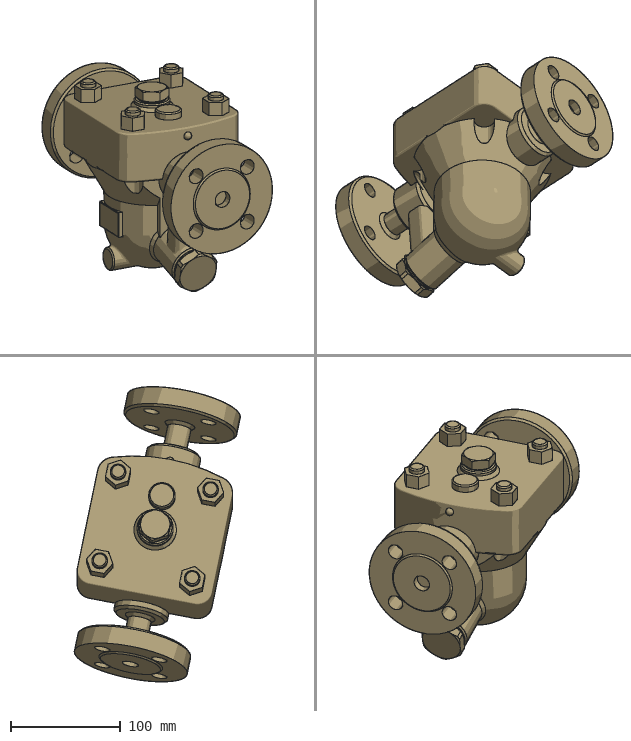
import cadquery as cq
import math


overall_length = 251.0
inlet_face_x = -115.5
outlet_face_x = inlet_face_x + overall_length
flange_diameter = 105.0
flange_thickness = 18.3
flange_chamfer = 2.0
raised_face_diameter = 59.0
raised_face_height = 1.5
raised_face_chamfer = 1.5
flange_hole_diameter = 14.0
flange_hole_count = 4
flange_bolt_circle = 74.8
bore_diameter = 15.0
bore_depth = 7.5
pipe_diameter = 21.5
pipe_flare = 3.0

hub_diameter = 50.0
hub_chamfer = 2.5
inlet_hub_x = -70.0
outlet_hub_x = 89.9

body_width_y = 125.0
body_left_x = -62.5
bulge_x = 68.5
bulge_radius = 168.2
left_corner_radius = 13.5
right_corner_radius = 15.5
body_bottom_z = 1.3
cover_joint_z = 29.4
cover_top_z = 48.2
body_edge_fillet = 2.0
cover_edge_fillet = 1.5

stud_spacing = 85.8
stud_diameter = 14.0
stud_chamfer = 1.3
stud_top_z = 65.5
nut_across_flats = 21.0
nut_top_z = 61.0
stud_clearance_diameter = 18.5
clearance_bottom_z = -19.0

plug_across_flats = 26.9
plug_top_z = 66.0
plug_bottom_z = 56.0
plug_collar_diameter = 33.0
plug_collar_top_z = 55.0
plug_collar_bottom_z = 51.5
plug_base_diameter = 38.7
plug_neck_diameter = 25.0
cover_boss_x = 31.6
cover_boss_diameter = 24.0
cover_boss_top_z = 55.0
boss_chamfer = 1.3

pin_diameter = 7.5
pin_tip_x = 72.3
pin_z = 40.5

bowl_radius = 44.0
bowl_shoulder_z = -33.0
bowl_center_z = -62.5
neck_seam_radius = 51.7
neck_seam_z = -19.0
neck_top_radius = 63.3

plate_width = 36.1
plate_top_z = -42.7
plate_bottom_z = -66.5
plate_face_y = -44.7
plate_back_y = -35.1
plate_chamfer = 0.63

drain_diameter = 21.5
drain_root_fillet = 3.0
drain_z = -92.9
drain_end_y = -45.7
drain_chamfer = 1.3

strainer_tilt = 15.0
strainer_diameter = 40.0
strainer_length = 80.0
strainer_chamfer = 1.5
strainer_flare = 3.3
strainer_flare_start = 36.0
strainer_flare_end = 42.0
cap_neck_diameter = 33.0
cap_across_flats = 37.1
cap_corner_chamfer = 2.0
cap_start = 82.0
cap_end = 91.9

leg_width = 23.3
leg_depth = 32.5
leg_corner_radius = 6.8
leg_root_fillet = 2.0
leg_tilt = 4.0
leg_top_x = 70.8
leg_length = 77.8
rib_depth = leg_depth
gap_left_x = 46.0
gap_right_x = 57.0
gap_top_z = 0.8


def hexagon_corner_radius(across_flats):
    return across_flats / 2 / math.cos(math.pi / 6)


def hexagonal_prism(across_flats, height, rotation=0.0):
    """A prism with two corners on the X axis before it is rotated about Z."""
    prism = cq.Workplane("XY").polygon(6, 2 * hexagon_corner_radius(across_flats)).extrude(height)
    return prism.rotate((0, 0, 0), (0, 0, 1), rotation)


def rod_z(diameter, bottom_z, top_z, x=0.0, y=0.0):
    return cq.Workplane("XY", origin=(x, y, bottom_z)).circle(diameter / 2).extrude(top_z - bottom_z)


def hex_head(across_flats, height):
    """A hexagonal head whose corners are rounded off by a cone at both ends."""
    corner_radius = hexagon_corner_radius(across_flats)
    drop = corner_radius - across_flats / 2
    envelope = cq.Workplane("XY").circle(corner_radius).extrude(height).edges().chamfer(drop / 2, drop)
    return hexagonal_prism(across_flats, height).intersect(envelope)


def pipe_branch(face_x, hub_x, root_x, direction):
    """Flange, pipe and hub as one turned piece, from the flange face to the hub root.

    The direction is the sign of X from the body towards the flange.
    """

    def turned_point(distance_from_face, radius):
        return (face_x - direction * distance_from_face, radius)

    flange_back = raised_face_height + flange_thickness
    hub_face = abs(face_x - hub_x)
    branch_end = abs(face_x - root_x)
    pipe_radius = pipe_diameter / 2
    face_radius = raised_face_diameter / 2
    flange_radius = flange_diameter / 2
    hub_radius = hub_diameter / 2
    profile = [
        (0, 0),
        (0, face_radius - raised_face_chamfer),
        (raised_face_height, face_radius),
        (raised_face_height, flange_radius),
        (flange_back - flange_chamfer, flange_radius),
        (flange_back, flange_radius - flange_chamfer),
        (flange_back, pipe_radius + pipe_flare),
        (flange_back + pipe_flare, pipe_radius),
        (hub_face - pipe_flare, pipe_radius),
        (hub_face, pipe_radius + pipe_flare),
        (hub_face, hub_radius - hub_chamfer),
        (hub_face + hub_chamfer, hub_radius),
        (branch_end - hub_chamfer, hub_radius),
        (branch_end, hub_radius - hub_chamfer),
        (branch_end, 0),
    ]
    points = [turned_point(distance, radius) for distance, radius in profile]
    branch = cq.Workplane("XY").polyline(points).close().revolve(360, (0, 0, 0), (1, 0, 0))
    face_plane = cq.Plane(origin=(face_x, 0, 0), xDir=(0, 1, 0), normal=(-direction, 0, 0))
    bolt_holes = (
        cq.Workplane(face_plane)
        .polarArray(flange_bolt_circle / 2, 45, 360, flange_hole_count)
        .circle(flange_hole_diameter / 2)
        .extrude(flange_back)
    )
    bore = cq.Workplane(face_plane).circle(bore_diameter / 2).extrude(bore_depth)
    return branch.cut(bolt_holes).cut(bore)


def square_block(bottom_z, top_z):
    """A slab with the plan outline shared by body and cover."""
    half_width = body_width_y / 2
    sagitta = bulge_radius - math.sqrt(bulge_radius**2 - half_width**2)
    corner_x = bulge_x - sagitta
    block = (
        cq.Workplane("XY", origin=(0, 0, bottom_z))
        .moveTo(body_left_x, -half_width)
        .lineTo(corner_x, -half_width)
        .threePointArc((bulge_x, 0), (corner_x, half_width))
        .lineTo(body_left_x, half_width)
        .close()
        .extrude(top_z - bottom_z)
    )
    block = block.edges("|Z").edges("<X").fillet(left_corner_radius)
    return block.edges("|Z").edges(">X").fillet(right_corner_radius)


def bowl():
    """Turned neck, cylinder and hemispherical bottom, kept within the plan outline of the body."""
    diagonal = bowl_radius * math.sqrt(0.5)
    return (
        cq.Workplane("XZ")
        .moveTo(0, cover_joint_z)
        .lineTo(neck_top_radius, cover_joint_z)
        .lineTo(neck_top_radius, body_bottom_z)
        .lineTo(neck_seam_radius, neck_seam_z)
        .lineTo(bowl_radius, bowl_shoulder_z)
        .lineTo(bowl_radius, bowl_center_z)
        .threePointArc((diagonal, bowl_center_z - diagonal), (0, bowl_center_z - bowl_radius))
        .close()
        .revolve(360, (0, 0, 0), (0, 1, 0))
        .intersect(square_block(bowl_center_z - bowl_radius, cover_joint_z))
    )


def stud_clearances():
    return (
        cq.Workplane("XY", origin=(0, 0, clearance_bottom_z))
        .rect(stud_spacing, stud_spacing, forConstruction=True)
        .vertices()
        .circle(stud_clearance_diameter / 2)
        .extrude(body_bottom_z - clearance_bottom_z)
    )


def name_plate():
    return (
        cq.Workplane("XY")
        .box(plate_width, plate_back_y - plate_face_y, plate_top_z - plate_bottom_z)
        .faces("<Y")
        .chamfer(plate_chamfer)
        .translate((0, (plate_face_y + plate_back_y) / 2, (plate_top_z + plate_bottom_z) / 2))
    )


def drain_stub():
    stub = cq.Workplane("XZ", origin=(0, 0, drain_z)).circle(drain_diameter / 2).extrude(-drain_end_y)
    return stub.faces("<Y").chamfer(drain_chamfer)


def strainer():
    """Strainer barrel with a flared root and a hexagonal cap."""
    tilt = math.radians(strainer_tilt)
    axis = cq.Vector(math.cos(tilt), 0, -math.sin(tilt))
    center = cq.Vector(0, 0, bowl_center_z)

    def section(distance):
        return cq.Workplane(cq.Plane(origin=center + axis * distance, xDir=(0, 1, 0), normal=axis))

    radius = strainer_diameter / 2
    barrel = section(0).circle(radius).extrude(strainer_length).faces(">X").chamfer(strainer_chamfer)
    flare_length = strainer_flare_end - strainer_flare_start
    flare = (
        section(strainer_flare_start)
        .circle(radius + strainer_flare)
        .workplane(offset=flare_length)
        .circle(radius)
        .loft()
    )
    neck = section(0).circle(cap_neck_diameter / 2).extrude(cap_end)
    cap = hex_head(cap_across_flats, cap_end - cap_start).edges("|Z").chamfer(cap_corner_chamfer)
    cap = cap.rotate((0, 0, 0), (0, 1, 0), 90 + strainer_tilt)
    cap = cap.translate(center + axis * cap_start)
    return barrel.union(flare).union(neck).union(cap)


def leg():
    """Rounded column leaning from the outlet hub down to the strainer."""
    return (
        cq.Workplane("XY")
        .rect(leg_width, leg_depth)
        .extrude(-leg_length)
        .edges("|Z")
        .fillet(leg_corner_radius)
        .rotate((0, 0, 0), (0, 1, 0), leg_tilt)
        .translate((leg_top_x, 0, 0))
    )


def fillet_joint(first, second, radius):
    """Join two parts and fillet the edges where their surfaces meet."""
    tolerance = 0.003
    joined = first.union(second)
    shells = [part.val().Shells()[0] for part in (first, second)]

    def on_both_surfaces(edge):
        middle = cq.Vertex.makeVertex(*edge.positionAt(0.5).toTuple())
        return all(shell.distance(middle) < tolerance for shell in shells)

    joint_edges = [edge for edge in joined.edges().vals() if on_both_surfaces(edge)]
    return joined.newObject(joint_edges).fillet(radius)


def bowl_rib():
    height = body_bottom_z - bowl_center_z
    return cq.Workplane("XY").box(gap_left_x, rib_depth, height, (False, True, False)).translate(
        (0, 0, bowl_center_z)
    )


def gap():
    """Round-topped gap through Y between the bowl and the outlet hub."""
    width = gap_right_x - gap_left_x
    arch_z = gap_top_z - width / 2
    return (
        cq.Workplane("XZ")
        .moveTo(gap_left_x, bowl_center_z)
        .lineTo(gap_left_x, arch_z)
        .threePointArc((gap_left_x + width / 2, gap_top_z), (gap_right_x, arch_z))
        .lineTo(gap_right_x, bowl_center_z)
        .close()
        .extrude(body_width_y / 2, both=True)
    )


def stud_and_nut(x, y, rotation):
    stud = rod_z(stud_diameter, cover_joint_z, stud_top_z, x, y).faces(">Z").chamfer(stud_chamfer)
    nut = hexagonal_prism(nut_across_flats, nut_top_z - cover_top_z, rotation)
    return stud.union(nut.translate((x, y, cover_top_z)))


def top_plug():
    base = (
        cq.Workplane("XY", origin=(0, 0, cover_top_z))
        .circle(plug_base_diameter / 2)
        .workplane(offset=plug_collar_bottom_z - cover_top_z)
        .circle(plug_collar_diameter / 2)
        .loft()
    )
    collar = rod_z(plug_collar_diameter, plug_collar_bottom_z, plug_collar_top_z)
    collar = collar.faces(">Z").chamfer(boss_chamfer)
    neck = rod_z(plug_neck_diameter, cover_top_z, plug_top_z)
    head = hex_head(plug_across_flats, plug_top_z - plug_bottom_z).translate((0, 0, plug_bottom_z))
    return base.union(collar).union(neck).union(head)


def cover():
    """Cover with its studs, nuts, plug, boss and side pin."""
    block = square_block(cover_joint_z, cover_top_z).faces(">Z").edges().fillet(cover_edge_fillet)
    boss = rod_z(cover_boss_diameter, cover_joint_z, cover_boss_top_z, cover_boss_x)
    block = block.union(boss.faces(">Z").chamfer(boss_chamfer)).union(top_plug())
    for side_x in (-1, 1):
        for side_y in (-1, 1):
            rotation = 0 if side_x == side_y else 30
            block = block.union(
                stud_and_nut(side_x * stud_spacing / 2, side_y * stud_spacing / 2, rotation)
            )
    pin_radius = pin_diameter / 2
    pin = cq.Workplane("XY").sphere(pin_radius).translate((pin_tip_x - pin_radius, 0, pin_z))
    return block.union(pin)


def lower_body():
    block = square_block(body_bottom_z, cover_joint_z).faces("<Z").edges().fillet(body_edge_fillet)
    lower = bowl().cut(stud_clearances()).union(bowl_rib())
    lower = fillet_joint(lower, drain_stub(), drain_root_fillet).cut(gap())
    lower = lower.union(pipe_branch(inlet_face_x, inlet_hub_x, 0, -1))
    lower = lower.union(fillet_joint(strainer(), leg(), leg_root_fillet))
    lower = lower.union(pipe_branch(outlet_face_x, outlet_hub_x, gap_right_x, 1))
    return lower.union(name_plate()).union(block)


result = lower_body().union(cover(), clean=False)